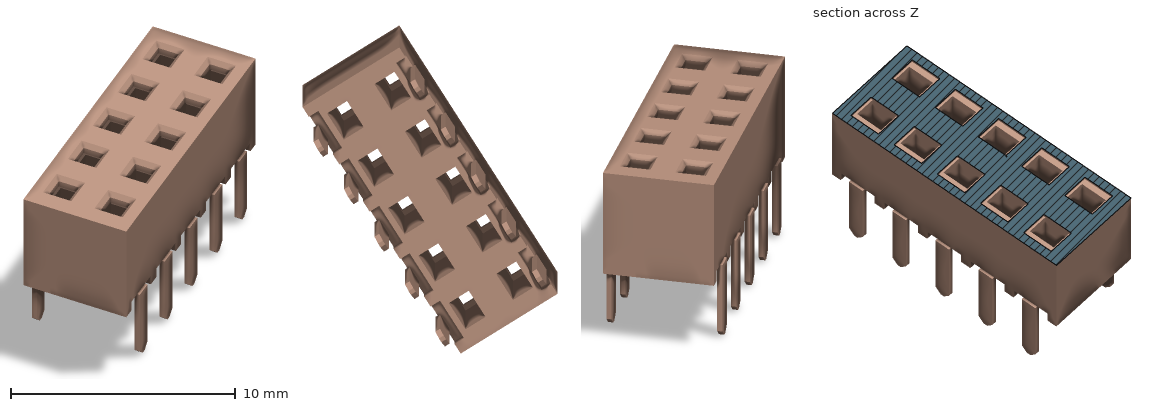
import cadquery as cq

pitch = 2.54
rows = 2
contacts_per_row = 5

body_width = rows * pitch
body_length = 13.2
body_height = 5.0

neck_width = 1.0
lead_in = 0.2
opening_depth = 0.5
neck_bottom = body_height - opening_depth
cavity_length = 1.4
inner_relief = 0.05
undercut_depth = 0.3
undercut_height = 0.25

notch_length = 2.0
notch_height = 0.5
notch_depth = 0.5

pin_thickness = 0.25
pin_width = 0.8
pin_drop = 3.1
tip_chamfer = 0.3

row_offset = pitch / 2
side_face = body_width / 2
contact_positions = [
    (index - (contacts_per_row - 1) / 2) * pitch for index in range(contacts_per_row)
]


def box_from_base(length_x, length_y, base, top, x, y):
    """Box centred on (x, y) that reaches from height base to height top."""
    block = cq.Workplane("XY", origin=(x, y, base))
    return block.box(length_x, length_y, top - base, centered=(True, True, False))


def make_socket(side, y):
    """Cutter for one opening; side is +1 or -1 for the row on +X or -X."""
    x = side * row_offset
    mouth_width = neck_width + 2 * lead_in
    neck = box_from_base(neck_width, neck_width, 0, body_height, x, y)
    mouth = (
        cq.Workplane("XY", origin=(x, y, body_height))
        .rect(mouth_width, mouth_width)
        .workplane(offset=-lead_in)
        .rect(neck_width, neck_width)
        .loft(ruled=True)
    )
    cavity_width = neck_width + inner_relief
    cavity_x = x - side * inner_relief / 2
    cavity = box_from_base(cavity_width, cavity_length, 0, neck_bottom, cavity_x, y)
    undercut_width = cavity_width + undercut_depth
    undercut_length = neck_width + 2 * undercut_depth
    undercut_x = cavity_x + side * undercut_depth / 2
    undercut_floor = neck_bottom - undercut_height
    undercut = box_from_base(
        undercut_width, undercut_length, undercut_floor, neck_bottom, undercut_x, y
    )
    return neck.union(mouth).union(cavity).union(undercut)


def make_notch(side, y):
    """Cutter for the blind notch that a pin stands in."""
    x = side * (side_face - notch_depth / 2)
    return box_from_base(notch_depth, notch_length, 0, notch_height, x, y)


def make_pin(side, y):
    """Flat pin hanging from the notch roof, tapered to a narrow flat tip."""
    half_width = pin_width / 2
    half_tip = half_width - tip_chamfer
    taper_start = tip_chamfer - pin_drop
    outline = [
        (-half_width, notch_height),
        (half_width, notch_height),
        (half_width, taper_start),
        (half_tip, -pin_drop),
        (-half_tip, -pin_drop),
        (-half_width, taper_start),
    ]
    return (
        cq.Workplane("YZ", origin=(side * side_face, y, 0))
        .polyline(outline)
        .close()
        .extrude(pin_thickness / 2, both=True)
    )


result = box_from_base(body_width, body_length, 0, body_height, 0, 0)
for row_side in (-1, 1):
    for contact_y in contact_positions:
        result = result.cut(make_socket(row_side, contact_y))
        result = result.cut(make_notch(row_side, contact_y))
        result = result.union(make_pin(row_side, contact_y))